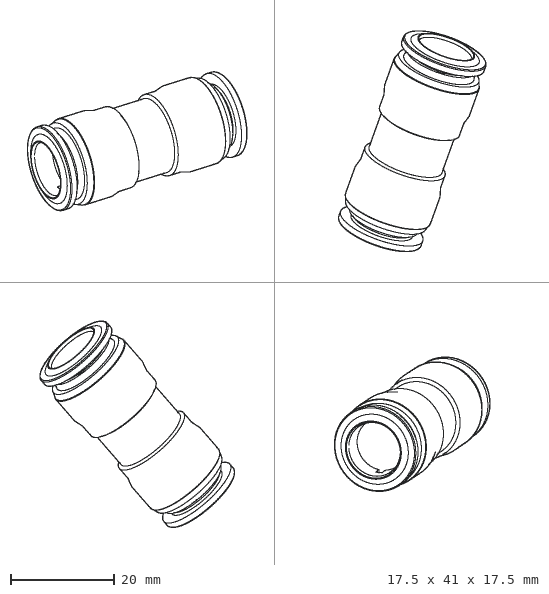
import cadquery as cq

length = 41.0
half_length = length / 2

nose_radius = 5.82
nose_base_radius = 7.0
nose_length = 0.7
flange_radius = 8.5
flange_chamfer = 0.2
flange_end = 2.05
neck_flare_radius = 6.3
neck_radius = 6.03
neck_flare_end = 2.5

ring_start = 3.1
ring_front_radius = 6.93
ring_back_radius = 7.2
body_start = 4.45
body_front_radius = 8.25
body_shoulder_radius = 8.65
body_edge_chamfer = 0.12
body_diameter = 17.5
body_radius = body_diameter / 2
shoulder_end = 5.82
body_end = 11.52
sleeve_start = 13.35
sleeve_radius = 8.25
sleeve_end = 16.5
sleeve_taper_length = 0.35
waist_radius = 7.5

socket_depth = 4.5
socket_floor_radius = 5.15
socket_bore_radius = 5.37
mouth_radius = 5.6
mouth_chamfer_depth = 0.6

slit_width = 1.3
slit_length = 1.5
slit_depth = 1.25


def revolve_about_y(profile):
    """Revolve a list of (radius, depth from the -Y end face) points about Y."""
    points = [(radius, depth - half_length) for radius, depth in profile]
    return cq.Workplane("XY").polyline(points).close().revolve(360, (0, 0, 0), (0, 1, 0))


def outer_half():
    return revolve_about_y([
        (0, 0),
        (nose_radius, 0),
        (nose_base_radius, nose_length),
        (flange_radius - flange_chamfer, nose_length),
        (flange_radius, nose_length + flange_chamfer),
        (flange_radius, flange_end),
        (neck_flare_radius, flange_end),
        (neck_radius, neck_flare_end),
        (neck_radius, ring_start),
        (ring_front_radius, ring_start),
        (ring_back_radius, body_start),
        (body_front_radius, body_start),
        (body_shoulder_radius, shoulder_end - body_edge_chamfer),
        (body_radius, shoulder_end),
        (body_radius, body_end),
        (sleeve_radius, sleeve_start),
        (sleeve_radius, sleeve_end - sleeve_taper_length),
        (waist_radius, sleeve_end),
        (waist_radius, half_length),
        (0, half_length),
    ])


def socket():
    return revolve_about_y([
        (0, 0),
        (mouth_radius, 0),
        (socket_bore_radius, mouth_chamfer_depth),
        (socket_floor_radius, socket_depth),
        (0, socket_depth),
    ])


def slit():
    """Rectangular slot cut down from the socket axis; one end is flush with the floor."""
    center_y = socket_depth - half_length - slit_length / 2
    slit_reach = socket_floor_radius + slit_depth
    return (
        cq.Workplane("XY")
        .center(0, center_y)
        .rect(slit_width, slit_length)
        .extrude(-slit_reach)
    )


half = outer_half().cut(socket()).cut(slit())
result = half.union(half.mirror("XZ"))